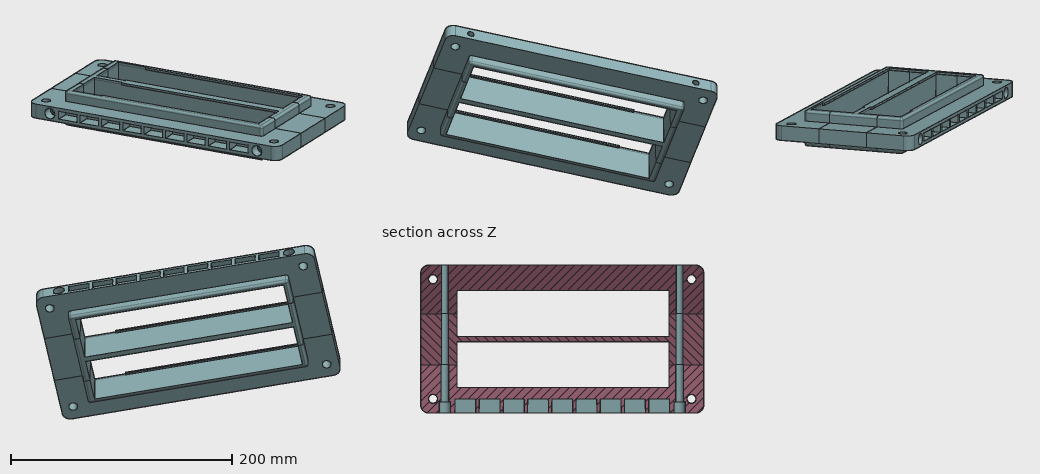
import cadquery as cq
PLATE_LENGTH = 256.0
PLATE_WIDTH = 134.0
PLATE_THICKNESS = 13.5
PLATE_CORNER_RADIUS = 7.7

RIM_LENGTH = 202.8
RIM_WIDTH = 95.5
RIM_HEIGHT = 33.0
RIM_FILLET = 2.3

WALL_DRAFT = 0.5

SPLIT_Y = 23.0
WINDOW_LENGTH = 189.5
WINDOW_WIDTH = 40.7

LIP_DEPTH = 1.5
LIP_THICKNESS = 2.0
LIP_GAP_LENGTH = 28.5

MOUNT_HOLE_DIAMETER = 8.0
MOUNT_HOLE_X = 116.7
MOUNT_HOLE_Y = 54.0

BOLT_X = 106.0
BOLT_HEAD_DIAMETER = 10.0
BOLT_HEAD_DEPTH = 10.2
BOLT_HOLE_FRONT = 7.0
BOLT_HOLE_MIDDLE = 6.1
BOLT_HOLE_REAR = 6.0

POCKET_COUNT = 9
POCKET_ROW_LENGTH = 193.8
POCKET_LENGTH = 18.7
POCKET_PITCH = (POCKET_ROW_LENGTH - POCKET_LENGTH) / (POCKET_COUNT - 1)
POCKET_HEIGHT = 7.5
POCKET_DEPTH = 12.8

FRONT_Y = -PLATE_WIDTH / 2
REAR_Y = PLATE_WIDTH / 2


def make_blank():
    """Rounded plate with the filleted rim block through its middle."""
    plate = cq.Workplane("XY").box(PLATE_LENGTH, PLATE_WIDTH, PLATE_THICKNESS)
    plate = plate.edges("|Z").fillet(PLATE_CORNER_RADIUS)
    upper_rim = (
        cq.Workplane("XY")
        .rect(RIM_LENGTH, RIM_WIDTH)
        .extrude(RIM_HEIGHT / 2, taper=WALL_DRAFT)
    )
    upper_rim = upper_rim.edges("not <Z").fillet(RIM_FILLET)
    lower_rim = upper_rim.mirror("XY")
    return plate.union(upper_rim).union(lower_rim)


def make_window(center_y):
    """Window that is wider below its lip and flares slightly toward the bottom."""
    left_x = -WINDOW_LENGTH / 2
    lip_underside = RIM_HEIGHT / 2 - LIP_THICKNESS
    narrow_width = WINDOW_WIDTH - 2 * LIP_DEPTH

    below_lip = (
        cq.Workplane("XY", origin=(LIP_DEPTH / 2, 0, lip_underside))
        .rect(WINDOW_LENGTH + LIP_DEPTH, WINDOW_WIDTH)
        .extrude(-(lip_underside + RIM_HEIGHT / 2), taper=-WALL_DRAFT)
    )
    between_lips = cq.Workplane("XY", origin=(0, 0, lip_underside)).box(
        WINDOW_LENGTH, narrow_width, LIP_THICKNESS, centered=(True, True, False)
    )
    lip_gap = cq.Workplane("XY", origin=(left_x, 0, lip_underside)).box(
        LIP_GAP_LENGTH, WINDOW_WIDTH, LIP_THICKNESS, centered=(False, True, False)
    )
    return below_lip.union(between_lips).union(lip_gap).translate((0, center_y, 0))


def make_mount_holes():
    """Four holes through the plate, one near each corner."""
    return (
        cq.Workplane("XY")
        .rect(2 * MOUNT_HOLE_X, 2 * MOUNT_HOLE_Y, forConstruction=True)
        .vertices()
        .circle(MOUNT_HOLE_DIAMETER / 2)
        .extrude(PLATE_THICKNESS / 2, both=True)
    )


def make_bolt_holes(diameter, start_y, end_y):
    """Pair of cylinders along Y, one at each end of the frame."""
    return (
        cq.Workplane("XZ", origin=(0, start_y, 0))
        .pushPoints([(-BOLT_X, 0), (BOLT_X, 0)])
        .circle(diameter / 2)
        .extrude(start_y - end_y)
    )


def make_pockets():
    """Row of pockets that narrow slightly toward their floors."""
    return (
        cq.Workplane("XZ", origin=(0, FRONT_Y, 0))
        .rarray(POCKET_PITCH, 2.5, POCKET_COUNT, 1)
        .rect(POCKET_LENGTH, POCKET_HEIGHT)
        .extrude(-POCKET_DEPTH, taper=WALL_DRAFT)
    )


def make_bar(frame, start_y, end_y, bolt_diameter):
    """Part of the frame between two Y planes, with its own bolt holes."""
    slab = cq.Workplane("XY").box(
        PLATE_LENGTH, end_y - start_y, RIM_HEIGHT
    ).translate((0, (start_y + end_y) / 2, 0))
    return frame.intersect(slab).cut(make_bolt_holes(bolt_diameter, start_y, end_y))


frame = make_blank().cut(make_mount_holes())
for window_y in (-SPLIT_Y, SPLIT_Y):
    frame = frame.cut(make_window(window_y))

front_bar = (
    make_bar(frame, FRONT_Y, -SPLIT_Y, BOLT_HOLE_FRONT)
    .cut(make_bolt_holes(BOLT_HEAD_DIAMETER, FRONT_Y, FRONT_Y + BOLT_HEAD_DEPTH))
    .cut(make_pockets())
)
middle_bar = make_bar(frame, -SPLIT_Y, SPLIT_Y, BOLT_HOLE_MIDDLE)
rear_bar = make_bar(frame, SPLIT_Y, REAR_Y, BOLT_HOLE_REAR)

result = cq.Compound.makeCompound([front_bar.val(), middle_bar.val(), rear_bar.val()])